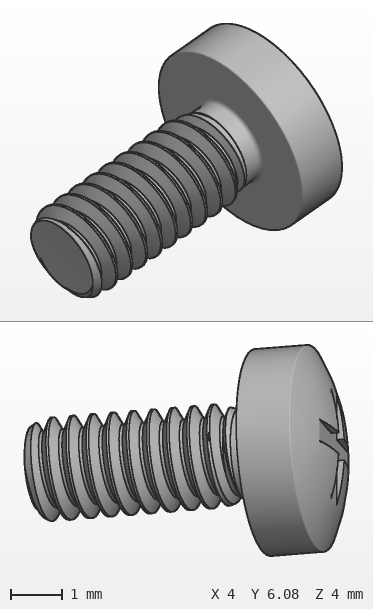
import cadquery as cq
import math

TOTAL_LENGTH = 6.08
HEAD_DIAMETER = 4.0
SHANK_LENGTH = 4.5
RIM_HEIGHT = 1.07
RIM_FILLET = 0.03
SLOT_WIDTH = 0.425
SLOT_DEPTH = 0.145
THREAD_DIAMETER = 2.0
PITCHES_IN_SHANK = 11.25
DEPTH_TO_PITCH = 0.6134
FLANK_ANGLE = 30
NECK_RADIUS = 0.87
NECK_FILLET = 0.09
TIP_RADIUS = 0.86
TIP_CHAMFER_ANGLE = 30
DIMPLE_RADIUS = 0.795
DIMPLE_DEPTH = 0.035
ROOT_OVERLAP = 0.01
CREST_CLEARANCE = 0.06

head_radius = HEAD_DIAMETER / 2
head_height = TOTAL_LENGTH - SHANK_LENGTH
pitch = SHANK_LENGTH / PITCHES_IN_SHANK
crest_radius = THREAD_DIAMETER / 2
thread_depth = DEPTH_TO_PITCH * pitch
root_radius = crest_radius - thread_depth
crest_width = pitch / 8
flank_slope = math.tan(math.radians(FLANK_ANGLE))
neck_length = pitch
runout_length = pitch
root_taper_length = 0.45 * pitch

slot_corner_radius = SLOT_WIDTH / math.sqrt(2)
dome_rise = head_height - RIM_HEIGHT
dome_radius = math.hypot(
    head_radius,
    (head_radius**2 - slot_corner_radius**2 - dome_rise**2) / (2 * dome_rise),
)
dome_centre = RIM_HEIGHT - math.sqrt(dome_radius**2 - head_radius**2)
dome_apex = dome_centre + dome_radius


def revolve_about_axis(profile):
    return profile.close().revolve(360, (0, 0, 0), (0, 1, 0))


def make_head():
    """Domed head with filleted rim edges and two crossed slots."""
    half_angle = math.asin(head_radius / dome_radius) / 2
    dome_middle = (
        dome_radius * math.sin(half_angle),
        dome_centre + dome_radius * math.cos(half_angle),
    )
    profile = (
        cq.Workplane("XZ")
        .lineTo(head_radius, 0)
        .lineTo(head_radius, RIM_HEIGHT)
        .threePointArc(dome_middle, (0, dome_apex))
    )
    head = revolve_about_axis(profile).edges("%CIRCLE").fillet(RIM_FILLET)
    slot_floor = head_height - SLOT_DEPTH
    for length_x, length_y in ((HEAD_DIAMETER, SLOT_WIDTH), (SLOT_WIDTH, HEAD_DIAMETER)):
        floor_plane = cq.Workplane("XY", origin=(0, 0, slot_floor))
        head = head.cut(floor_plane.rect(length_x, length_y).extrude(head_height))
    return head


def make_neck():
    """Plain cylinder under the head, flared into it by a concave fillet."""
    arc_offset = NECK_FILLET * (1 - math.sqrt(0.5))
    profile = (
        cq.Workplane("XZ")
        .moveTo(0, RIM_FILLET)
        .lineTo(NECK_RADIUS + NECK_FILLET, RIM_FILLET)
        .lineTo(NECK_RADIUS + NECK_FILLET, 0)
        .threePointArc((NECK_RADIUS + arc_offset, -arc_offset), (NECK_RADIUS, -NECK_FILLET))
        .lineTo(NECK_RADIUS, -neck_length)
        .lineTo(0, -neck_length)
    )
    return revolve_about_axis(profile)


def make_thread_envelope():
    """Solid that trims the thread: tapered runout at the neck, chamfered and dimpled tip."""
    trim_radius = crest_radius + CREST_CLEARANCE
    runout_slope = (crest_radius - NECK_RADIUS) / runout_length
    trim_runout_length = (trim_radius - NECK_RADIUS) / runout_slope
    trim_chamfer_length = (trim_radius - TIP_RADIUS) / math.tan(math.radians(TIP_CHAMFER_ANGLE))
    profile = (
        cq.Workplane("XZ")
        .moveTo(0, -neck_length)
        .lineTo(NECK_RADIUS, -neck_length)
        .lineTo(trim_radius, -neck_length - trim_runout_length)
        .lineTo(trim_radius, -SHANK_LENGTH + trim_chamfer_length)
        .lineTo(TIP_RADIUS, -SHANK_LENGTH)
        .lineTo(DIMPLE_RADIUS, -SHANK_LENGTH)
        .lineTo(0, -SHANK_LENGTH + DIMPLE_DEPTH)
    )
    return revolve_about_axis(profile)


def make_ridge(start, turns):
    """Right-handed trapezoidal ridge bounded by ruled faces between four helices."""
    base_radius = root_radius - ROOT_OVERLAP
    half_crest = crest_width / 2
    half_base = half_crest + (crest_radius - base_radius) * flank_slope
    corners = (
        (base_radius, -half_base),
        (base_radius, half_base),
        (crest_radius, half_crest),
        (crest_radius, -half_crest),
    )
    helices = [
        cq.Wire.makeHelix(pitch, turns * pitch, radius, cq.Vector(0, 0, start + offset))
        for radius, offset in corners
    ]
    faces = [
        cq.Face.makeRuledSurface(helix, following)
        for helix, following in zip(helices, helices[1:] + helices[:1])
    ]
    start_outline = cq.Wire.makePolygon([helix.startPoint() for helix in helices], close=True)
    end_outline = cq.Wire.makePolygon([helix.endPoint() for helix in helices], close=True)
    faces += [cq.Face.makeFromWires(outline) for outline in (start_outline, end_outline)]
    return cq.Workplane(cq.Solid.makeSolid(cq.Shell.makeShell(faces)))


def make_thread_core(bottom):
    """Root cylinder that tapers out to the neck, so the groove fades where the thread runs out."""
    profile = (
        cq.Workplane("XZ")
        .moveTo(0, -neck_length)
        .lineTo(NECK_RADIUS, -neck_length)
        .lineTo(root_radius, -neck_length - root_taper_length)
        .lineTo(root_radius, bottom)
        .lineTo(0, bottom)
    )
    return revolve_about_axis(profile)


def make_thread():
    """Thread whose crests meet the +X side at whole pitches below the head."""
    turns = math.ceil(SHANK_LENGTH / pitch) + 1
    start = -turns * pitch
    envelope = make_thread_envelope()
    core = make_thread_core(start)
    return core.intersect(envelope).union(make_ridge(start, turns).intersect(envelope))


screw = make_head().union(make_neck()).union(make_thread())

result = screw.rotate((0, 0, 0), (1, 0, 0), -90).solids()